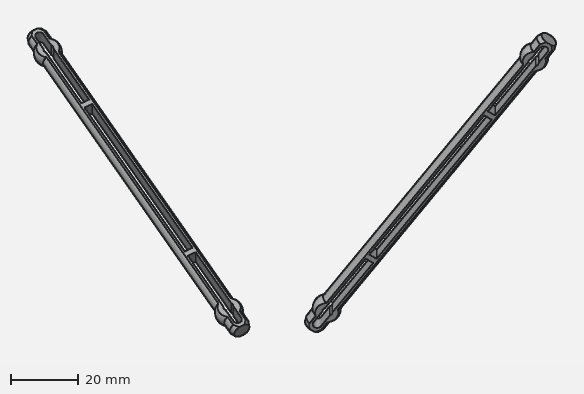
import cadquery as cq

LENGTH = 125.0
THICKNESS = 5.0
ROD_RADIUS = 3.2

END_RADIUS = 2.6
END_TAPER_LENGTH = 1.6

BALL_RADIUS = 4.2
BALL_FROM_END = 7.8

SLOT_WIDTH = 2.6
END_WALL = 1.4
SLOT_LENGTH = LENGTH - 2 * END_WALL
CROSSBAR_WIDTH = 1.9
CROSSBAR_FROM_MIDDLE = LENGTH / 4

HOLE_DIAMETER = 3.0
HOLE_FROM_END = 8.1


def mirrored_points(distance):
    """Two points on the axis, the same distance either side of the middle."""
    return [(-distance, 0), (distance, 0)]


def tapered_rod():
    half_length = LENGTH / 2
    shoulder = half_length - END_TAPER_LENGTH
    half_profile = (
        cq.Workplane("XY")
        .lineTo(0, ROD_RADIUS)
        .lineTo(shoulder, ROD_RADIUS)
        .lineTo(half_length, END_RADIUS)
        .lineTo(half_length, 0)
        .close()
    )
    half_rod = half_profile.revolve(360, (0, 0, 0), (1, 0, 0))
    return half_rod.union(half_rod.mirror("YZ"))


def balls():
    centres = mirrored_points(LENGTH / 2 - BALL_FROM_END)
    return cq.Workplane("XY").pushPoints(centres).sphere(BALL_RADIUS)


def between_flats():
    return cq.Workplane("XY").box(LENGTH, 2 * BALL_RADIUS, THICKNESS)


def bridged_slot():
    slot = cq.Workplane("XY").slot2D(SLOT_LENGTH, SLOT_WIDTH).extrude(THICKNESS / 2, both=True)
    crossbars = (
        cq.Workplane("XY")
        .pushPoints(mirrored_points(CROSSBAR_FROM_MIDDLE))
        .box(CROSSBAR_WIDTH, SLOT_WIDTH, THICKNESS)
    )
    return slot.cut(crossbars)


def ball_holes():
    centres = mirrored_points(LENGTH / 2 - HOLE_FROM_END)
    return (
        cq.Workplane("XY")
        .pushPoints(centres)
        .circle(HOLE_DIAMETER / 2)
        .extrude(THICKNESS / 2, both=True)
    )


solid_rod = tapered_rod().union(balls()).intersect(between_flats())
result = solid_rod.cut(bridged_slot()).cut(ball_holes())